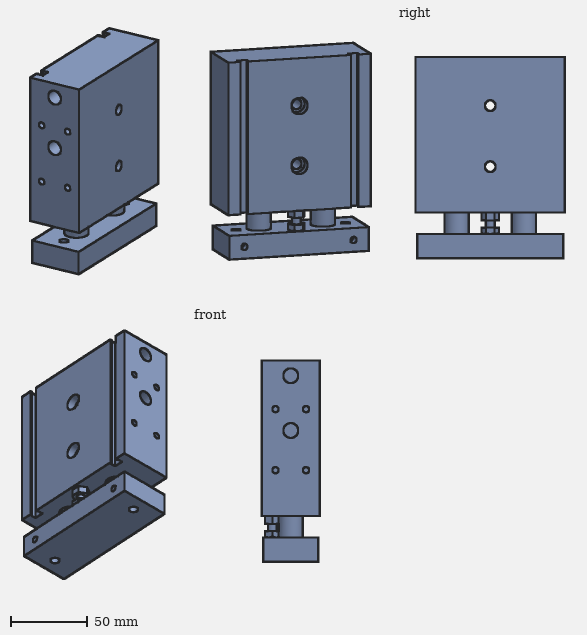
import cadquery as cq

HOUSING_X = 38.0
HOUSING_Y = 98.0
TOTAL_HEIGHT = 132.0
HOUSING_HEIGHT = 102.0
HOUSING_BOTTOM = TOTAL_HEIGHT - HOUSING_HEIGHT
HOUSING_LEFT = -HOUSING_X / 2
HOUSING_FRONT = -HOUSING_Y / 2

SLOT_Y = 38.0
SLOT_MOUTH = 5.0
SLOT_INNER = 6.5
SLOT_LIP = 1.3
SLOT_DEPTH = 5.0

MOUNT_LEVELS = [TOTAL_HEIGHT - 32.0, TOTAL_HEIGHT - 72.0]
MOUNT_DIAMETER = 6.9
COUNTERBORE_DIAMETER = 11.0
COUNTERBORE_DEPTH = 6.5
TAPPED_DIAMETER = 4.1
TAPPED_DEPTH = 7.9
TAPPED_X = 10.0

PORT_LEVELS = [TOTAL_HEIGHT - 10.0, TOTAL_HEIGHT - 46.0]
PORT_DIAMETER = 9.8
PORT_DEPTH = 11.9

PLATE_X = 36.0
PLATE_Y = 96.0
PLATE_HEIGHT = 16.0
ROD_DIAMETER = 16.0
ROD_Y = 22.0
PLATE_HOLE_Y = 37.5
PLATE_HOLE_DIAMETER = 6.0
PLATE_SIDE_DIAMETER = 4.1
PLATE_SIDE_DEPTH = 7.9

BOLT_X = -12.0
BOLT_DIAMETER = 6.0
HEX_FLATS = 10.0
UPPER_HEX_HEIGHT = 5.0
LOWER_HEX_HEIGHT = 4.2
HEX_BEVEL_HEIGHT = 0.7
HEX_BEVEL_WIDTH = 0.8
HEX_CORNERS = HEX_FLATS / (3**0.5 / 2)


def x_bore(diameter, depth, start_x, y, z):
    """Cylinder running toward +X from start_x."""
    return cq.Workplane("YZ", origin=(start_x, y, z)).circle(diameter / 2).extrude(depth)


def y_bore(diameter, depth, x, z):
    """Cylinder running toward +Y from the front face of the housing."""
    plane = cq.Workplane("XZ", origin=(x, HOUSING_FRONT, z))
    return plane.circle(diameter / 2).extrude(-depth)


def slot_cutter(y):
    """T-slot running the full height of the housing."""
    base = cq.Workplane("XY", origin=(HOUSING_LEFT, y, HOUSING_BOTTOM))
    centered = (False, True, False)
    mouth = base.box(SLOT_DEPTH, SLOT_MOUTH, HOUSING_HEIGHT, centered=centered)
    inner = base.center(SLOT_LIP, 0).box(
        SLOT_DEPTH - SLOT_LIP, SLOT_INNER, HOUSING_HEIGHT, centered=centered
    )
    return mouth.union(inner)


def make_housing():
    body = cq.Workplane("XY", origin=(0, 0, HOUSING_BOTTOM)).box(
        HOUSING_X, HOUSING_Y, HOUSING_HEIGHT, centered=(True, True, False)
    )
    for side in (-1, 1):
        body = body.cut(slot_cutter(side * SLOT_Y))
    for z in MOUNT_LEVELS:
        body = body.cut(x_bore(MOUNT_DIAMETER, HOUSING_X, HOUSING_LEFT, 0, z))
        body = body.cut(x_bore(COUNTERBORE_DIAMETER, COUNTERBORE_DEPTH, HOUSING_LEFT, 0, z))
        for side in (-1, 1):
            body = body.cut(y_bore(TAPPED_DIAMETER, TAPPED_DEPTH, side * TAPPED_X, z))
    for z in PORT_LEVELS:
        body = body.cut(y_bore(PORT_DIAMETER, PORT_DEPTH, 0, z))
    return body


def make_slide():
    """End plate and guide rods, which reach up to the underside of the housing."""
    body = cq.Workplane("XY").box(PLATE_X, PLATE_Y, PLATE_HEIGHT, centered=(True, True, False))
    for side in (-1, 1):
        rod = cq.Workplane("XY", origin=(0, side * ROD_Y, PLATE_HEIGHT)).circle(ROD_DIAMETER / 2)
        body = body.union(rod.extrude(HOUSING_BOTTOM - PLATE_HEIGHT))
        hole_y = side * PLATE_HOLE_Y
        hole = cq.Workplane("XY", origin=(0, hole_y, 0)).circle(PLATE_HOLE_DIAMETER / 2)
        body = body.cut(hole.extrude(PLATE_HEIGHT))
        body = body.cut(
            x_bore(PLATE_SIDE_DIAMETER, PLATE_SIDE_DEPTH, -PLATE_X / 2, hole_y, PLATE_HEIGHT / 2)
        )
    return body


def hexagon(bottom, height):
    """Hexagonal prism on the bolt axis with corners toward +Y and -Y."""
    plane = cq.Workplane("XY", origin=(BOLT_X, 0, bottom))
    return plane.transformed(rotate=(0, 0, 90)).polygon(6, HEX_CORNERS).extrude(height)


def make_bolt():
    bevel = (
        cq.Workplane("XY", origin=(BOLT_X, 0, PLATE_HEIGHT))
        .circle(HEX_CORNERS / 2)
        .extrude(LOWER_HEX_HEIGHT)
        .faces("<Z")
        .chamfer(HEX_BEVEL_HEIGHT, HEX_BEVEL_WIDTH)
    )
    lower_hex = hexagon(PLATE_HEIGHT, LOWER_HEX_HEIGHT).intersect(bevel)
    upper_hex = hexagon(HOUSING_BOTTOM - UPPER_HEX_HEIGHT, UPPER_HEX_HEIGHT)
    shank = cq.Workplane("XY", origin=(BOLT_X, 0, PLATE_HEIGHT)).circle(BOLT_DIAMETER / 2)
    return shank.extrude(HOUSING_BOTTOM - PLATE_HEIGHT).union(lower_hex).union(upper_hex)


housing = make_housing()
slide = make_slide()
bolt = make_bolt()
result = cq.Compound.makeCompound([housing.val(), slide.val(), bolt.val()])